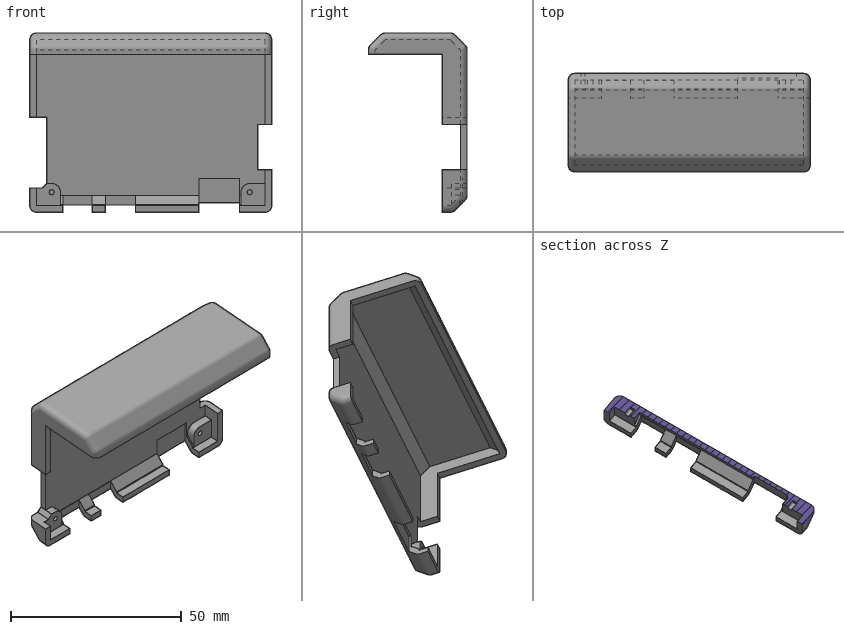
import cadquery as cq
import math

length = 70.8
depth = 28.9
height = 52.5

wall = 2.0
edge_radius = wall
inner_chamfer = 3.0
outer_chamfer = inner_chamfer + edge_radius * (2 - math.sqrt(2))

back_depth = 7.3
hood_height = 6.3

boss_depth = 4.6
boss_radius = 2.55
boss_inset = 6.45
boss_hole_height = 5.9
boss_hole_diameter = 1.5
boss_top = boss_hole_height + boss_radius

left_notch_width = 4.95
left_notch_bottom = 7.15
left_notch_top = 27.75
right_notch_width = 4.1
right_notch_bottom = 12.45
right_notch_top = 25.65

floor_opening_spans = [(9.7, 18.3), (22.2, 30.95)]
floor_opening_ledge = 0.1
floor_opening_top = wall + inner_chamfer
floor_opening_back = wall + floor_opening_ledge

port_left = 49.5
port_right = 61.3
port_top = 9.9
port_back_thickness = 1.35


def block(x_range, depth_range, z_range):
    """Box between two X values, two distances in from the back face, and two heights."""
    x_min, x_max = x_range
    back, front = depth_range
    z_min, z_max = z_range
    corner = cq.Vector(x_min, -front, z_min)
    return cq.Workplane(cq.Solid.makeBox(x_max - x_min, front - back, z_max - z_min, corner))


def chamfered_block(inset, chamfer):
    """Block inset from the overall size, with its four lengthwise edges chamfered."""
    body = block((inset, length - inset), (inset, depth - inset), (inset, height - inset))
    return body.edges("|X").chamfer(chamfer)


def boss(center_x):
    """Screw boss from the back wall: a round corner, filled to the floor and the nearer side wall."""
    side_x = 0 if center_x < length / 2 else length
    inner_x = center_x + math.copysign(boss_radius, center_x - side_x)
    side_fill = block(sorted((side_x, center_x)), (0, boss_depth), (0, boss_top))
    lower_fill = block(sorted((side_x, inner_x)), (0, boss_depth), (0, boss_hole_height))
    rounded = (
        cq.Workplane("XZ").center(center_x, boss_hole_height).circle(boss_radius).extrude(boss_depth)
    )
    return side_fill.union(lower_fill).union(rounded)


def boss_hole(center_x):
    """Blind screw hole that stops at the inner face of the back wall."""
    return (
        cq.Workplane("XZ", origin=(0, -wall, 0))
        .center(center_x, boss_hole_height)
        .circle(boss_hole_diameter / 2)
        .extrude(boss_depth)
    )


def left_notch():
    """Opening in the left edge, its lower corner bevelled around the boss."""
    bevel = boss_top - left_notch_bottom
    return (
        cq.Workplane("XZ")
        .moveTo(0, left_notch_bottom)
        .lineTo(left_notch_width - bevel, left_notch_bottom)
        .lineTo(left_notch_width, boss_top)
        .lineTo(left_notch_width, left_notch_top)
        .lineTo(0, left_notch_top)
        .close()
        .extrude(depth)
    )


boss_centers = [boss_inset, length - boss_inset]

cavity = chamfered_block(wall, inner_chamfer)
cavity = cavity.union(
    block((wall, length - wall), (boss_depth, back_depth), (wall, floor_opening_top))
)
for center_x in boss_centers:
    cavity = cavity.cut(boss(center_x))

result = chamfered_block(0, outer_chamfer).edges().fillet(edge_radius)
result = result.cut(cavity)
result = result.cut(block((0, length), (back_depth, depth), (0, height - hood_height)))

for center_x in boss_centers:
    result = result.cut(boss_hole(center_x))

result = result.cut(left_notch())
result = result.cut(
    block((length - right_notch_width, length), (0, depth), (right_notch_bottom, right_notch_top))
)

for span in floor_opening_spans:
    result = result.cut(block(span, (floor_opening_back, depth), (0, floor_opening_top)))
result = result.cut(block((port_left, port_right), (port_back_thickness, depth), (0, port_top)))